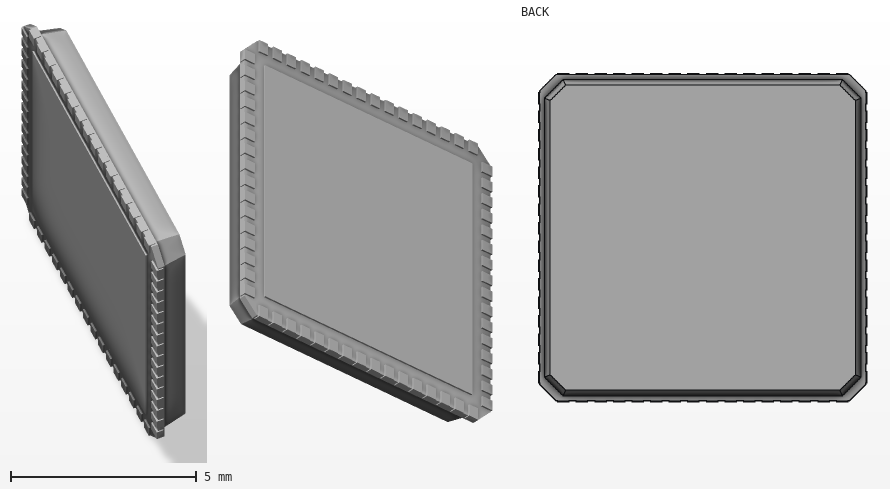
import cadquery as cq

overall_side = 8.85
overall_height = 1.0

pads_per_side = 16
pad_row_span = 7.505
pad_pitch = pad_row_span / (pads_per_side - 1)
pad_width = 0.31
pad_length = 0.36
pad_thickness = 0.2
pad_standout = 0.05
pad_overhang = 0.03

thermal_pad_side = 7.41

base_side = overall_side - 2 * pad_overhang
base_top = 0.25
base_corner_cut = 0.44

lid_height = overall_height - base_top
lid_side = 8.52
lid_corner_cut = 0.505
lid_taper_angle = 11.5

contact_face = -overall_height / 2


def plane_at(height):
    """XZ plane facing +Y, at a height above the contact face."""
    origin = (0, contact_face + height, 0)
    return cq.Plane(origin=origin, xDir=(1, 0, 0), normal=(0, 1, 0))


def corner_cut_square(height, side, cut):
    """Square outline with its four corners cut at 45 degrees."""
    half = side / 2
    short = half - cut
    outline = [
        (half, -short), (half, short),
        (short, half), (-short, half),
        (-half, short), (-half, -short),
        (-short, -half), (short, -half),
    ]
    return cq.Workplane(plane_at(height)).polyline(outline).close()


def base_plate():
    outline = corner_cut_square(pad_standout, base_side, base_corner_cut)
    return outline.extrude(base_top - pad_standout)


def lid():
    outline = corner_cut_square(base_top, lid_side, lid_corner_cut)
    return outline.extrude(lid_height, taper=lid_taper_angle)


def thermal_pad():
    return cq.Workplane(plane_at(0)).rect(thermal_pad_side, thermal_pad_side).extrude(pad_standout)


def edge_pads():
    """Rows of pads whose outer ends reach the overall outline on all four sides."""
    row_offset = (overall_side - pad_length) / 2
    contact_plane = cq.Workplane(plane_at(0))
    horizontal_rows = (
        contact_plane
        .rarray(pad_pitch, 2 * row_offset, pads_per_side, 2)
        .rect(pad_width, pad_length)
        .extrude(pad_thickness)
    )
    vertical_rows = (
        contact_plane
        .rarray(2 * row_offset, pad_pitch, 2, pads_per_side)
        .rect(pad_length, pad_width)
        .extrude(pad_thickness)
    )
    return horizontal_rows.union(vertical_rows)


result = base_plate().union(lid()).union(thermal_pad()).union(edge_pads())